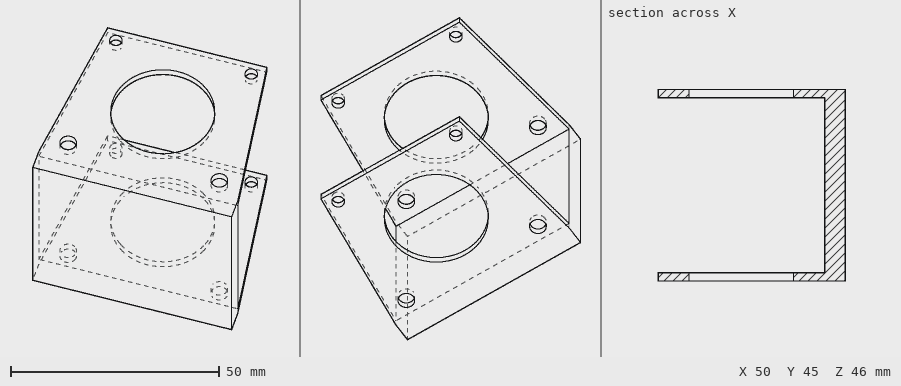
import cadquery as cq

width = 50.0
depth = 45.0
height = 46.0
wall_thickness = 5.0
plate_thickness = 2.0
plate_end_width = 40.0

bore_diameter = 25.0
bore_from_wall_face = 25.0

end_hole_diameter = 3.0
end_hole_spacing = 34.0
end_hole_inset = 3.0

wall_hole_diameter = 4.0
wall_hole_spacing = 38.0
wall_hole_from_wall_face = 9.5

wall_face_y = -bore_from_wall_face
wall_inside_y = wall_face_y + wall_thickness
open_end_y = wall_face_y + depth
end_hole_y = open_end_y - end_hole_inset
wall_hole_y = wall_face_y + wall_hole_from_wall_face


def make_body():
    """Block with straight sides along the wall and tapered sides beyond it."""
    outline = [
        (-width / 2, wall_face_y),
        (width / 2, wall_face_y),
        (width / 2, wall_inside_y),
        (plate_end_width / 2, open_end_y),
        (-plate_end_width / 2, open_end_y),
        (-width / 2, wall_inside_y),
    ]
    return cq.Workplane("XY").polyline(outline).close().extrude(height)


def make_gap():
    """Open space between the two plates, reaching back to the wall."""
    return cq.Workplane("XY").box(
        width,
        depth - wall_thickness,
        height - 2 * plate_thickness,
        centered=(True, False, False),
    ).translate((0, wall_inside_y, plate_thickness))


def make_through_holes(points, diameter):
    """Vertical cylinders passing through both plates."""
    return cq.Workplane("XY").pushPoints(points).circle(diameter / 2).extrude(height)


def mirrored_pair(spacing, y):
    """Two points placed symmetrically about the YZ plane."""
    return [(-spacing / 2, y), (spacing / 2, y)]


result = (
    make_body()
    .cut(make_gap())
    .cut(make_through_holes([(0, 0)], bore_diameter))
    .cut(make_through_holes(mirrored_pair(end_hole_spacing, end_hole_y), end_hole_diameter))
    .cut(make_through_holes(mirrored_pair(wall_hole_spacing, wall_hole_y), wall_hole_diameter))
)